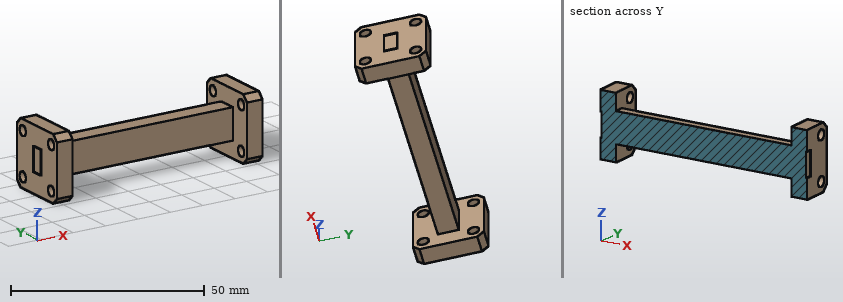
import cadquery as cq

overall_length = 63.5
flange_side = 19.05
flange_thickness = 4.826
corner_chamfer = 1.778

hole_diameter = 2.946
hole_spacing_y = 13.462
hole_spacing_z = 12.7

bar_width_y = 5.588
bar_height_z = 9.144

aperture_width_y = 3.556
aperture_height_z = 7.112
aperture_depth = 0.254

flange_offset = (overall_length - flange_thickness) / 2
aperture_offset = (overall_length - aperture_depth) / 2


def make_flange():
    """Square flange centred on the origin, with chamfered corners and four through holes."""
    plate = cq.Workplane("XY").box(flange_thickness, flange_side, flange_side)
    plate = plate.edges("|X").chamfer(corner_chamfer)
    holes = (
        cq.Workplane("YZ")
        .rect(hole_spacing_y, hole_spacing_z, forConstruction=True)
        .vertices()
        .circle(hole_diameter / 2)
        .extrude(flange_thickness, both=True)
    )
    return plate.cut(holes)


def make_aperture():
    """Rectangular block that sinks the aperture into an end face."""
    return cq.Workplane("XY").box(aperture_depth, aperture_width_y, aperture_height_z)


result = cq.Workplane("XY").box(2 * flange_offset, bar_width_y, bar_height_z)
for side in (-1, 1):
    result = result.union(make_flange().translate((side * flange_offset, 0, 0)))
    result = result.cut(make_aperture().translate((side * aperture_offset, 0, 0)))